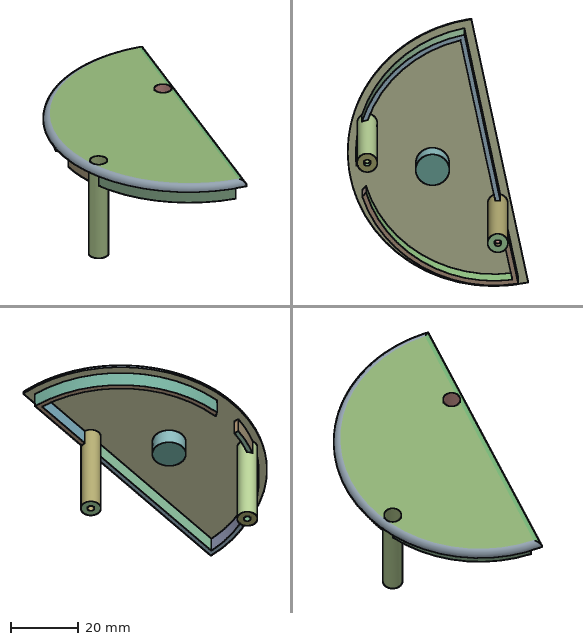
import cadquery as cq
import math

plate_radius = 43.5
plate_thickness = 2.0
back_y = 1.8
total_height = 32.0
plate_bottom = total_height - plate_thickness

skirt_radius = 41.05
skirt_height = 5.05
skirt_wall = 1.5
skirt_back_y = -0.8
skirt_bottom = plate_bottom - skirt_height

gap_left_x = -4.4
gap_right_x = 5.65
gap_left_lean = 1.1

boss_diameter = 10.0
boss_y = -18.6
leg_offset = 16.5
leg_diameter = 6.0
screw_diameter = 2.0
head_diameter = 5.1
leg_floor = 2.0
leg_centers = [(-leg_offset, boss_y + leg_offset), (leg_offset, boss_y - leg_offset)]


def cylinder(center, diameter, bottom, top):
    return (
        cq.Workplane("XY", origin=(0, 0, bottom))
        .center(*center)
        .circle(diameter / 2)
        .extrude(top - bottom)
    )


def rounded_section(plane, outer):
    """Section from the origin to a quarter-round edge as tall as the plate."""
    inner = outer - plate_thickness
    diagonal = plate_thickness * math.sqrt(0.5)
    return (
        cq.Workplane(plane)
        .moveTo(0, plate_bottom)
        .lineTo(outer, plate_bottom)
        .threePointArc((inner + diagonal, plate_bottom + diagonal), (inner, total_height))
        .lineTo(0, total_height)
        .close()
    )


def make_plate():
    disc = rounded_section("XZ", plate_radius).revolve(360, (0, 0), (0, 1))
    depth = plate_radius + back_y
    back_trim = (
        rounded_section("YZ", depth)
        .extrude(plate_radius, both=True)
        .translate((0, -plate_radius, 0))
    )
    return disc.intersect(back_trim)


def half_disc(radius, y_limit):
    """Part of a disc lying in front of a straight edge."""
    keep = (
        cq.Workplane("XY", origin=(0, 0, skirt_bottom))
        .center(0, y_limit - radius)
        .rect(2 * radius, 2 * radius)
        .extrude(skirt_height)
    )
    return cylinder((0, 0), 2 * radius, skirt_bottom, plate_bottom).intersect(keep)


def make_skirt():
    cavity = half_disc(skirt_radius - skirt_wall, skirt_back_y - skirt_wall)
    ring = half_disc(skirt_radius, skirt_back_y).cut(cavity)
    outer_y = -math.sqrt(skirt_radius**2 - gap_left_x**2)
    inner_y = outer_y + skirt_wall
    lean = gap_left_lean / skirt_wall
    reach = skirt_wall
    gap = (
        cq.Workplane("XY", origin=(0, 0, skirt_bottom))
        .polyline([
            (gap_left_x - lean * reach, outer_y - reach),
            (gap_right_x, outer_y - reach),
            (gap_right_x, inner_y + reach),
            (gap_left_x + gap_left_lean + lean * reach, inner_y + reach),
        ])
        .close()
        .extrude(skirt_height)
    )
    return ring.cut(gap)


result = make_plate().union(make_skirt())
result = result.union(cylinder((0, boss_y), boss_diameter, skirt_bottom, plate_bottom))
for leg_center in leg_centers:
    result = result.union(cylinder(leg_center, leg_diameter, 0, plate_bottom))
for leg_center in leg_centers:
    result = result.cut(cylinder(leg_center, screw_diameter, 0, total_height))
    result = result.cut(cylinder(leg_center, head_diameter, leg_floor, total_height))